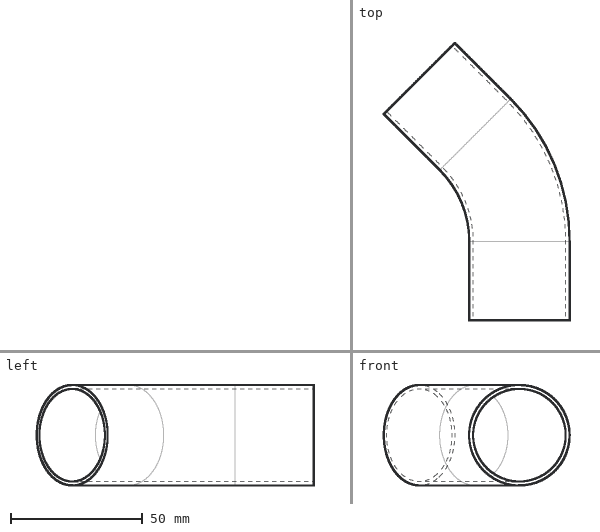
import cadquery as cq
import math

overall_length = 105.1
outer_diameter = 38.1
inner_diameter = 35.1
bend_radius = 57.2
bend_angle = math.radians(45)

outer_radius = outer_diameter / 2
bend_rise = (bend_radius + outer_radius) * math.sin(bend_angle)
leg_length = (overall_length - bend_rise) / (1 + math.cos(bend_angle))


def point_on_bend(angle):
    """Centreline point after turning by angle from +Y towards -X."""
    x = -bend_radius * (1 - math.cos(angle))
    y = leg_length + bend_radius * math.sin(angle)
    return (x, y)


bend_end = point_on_bend(bend_angle)
leg_end = (
    bend_end[0] - leg_length * math.sin(bend_angle),
    bend_end[1] + leg_length * math.cos(bend_angle),
)
centreline = (
    cq.Workplane("XY")
    .lineTo(0, leg_length)
    .threePointArc(point_on_bend(bend_angle / 2), bend_end)
    .lineTo(*leg_end)
)

result = (
    cq.Workplane("XZ")
    .circle(outer_radius)
    .circle(inner_diameter / 2)
    .sweep(centreline)
)